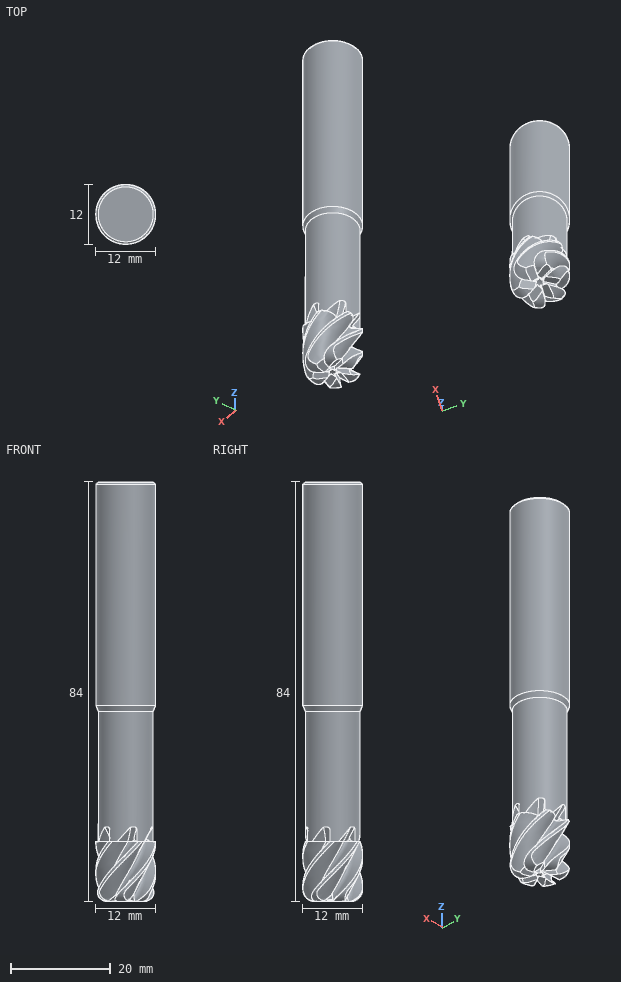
import cadquery as cq
import math

total_length = 84.0
tool_diameter = 12.0
neck_diameter = 11.0
head_length = 12.0
shank_start = 39.3
neck_cone_length = 1.3
end_chamfer = 0.5
corner_radius = 2.5

flute_count = 6
helix_angle = 45.0
edge_angle = -66.0
land_angle = 2.0
blank_radius = 6.3
back_angle = 18.0
floor_angle = 43.0
floor_radius = 3.5
floor_middle_angle = 54.0
floor_middle_radius = 3.45
rake_root_angle = 61.0
rake_root_radius = 4.2

runout_height = 2.9
runout_width = 4.1
runout_tip_width = 1.3
runout_tip_rounding = 0.6

dish_radius = 3.4
dish_depth = 0.5
gash_depth = 1.5
gash_width = 1.85
gash_inner_radius = 0.7

tool_radius = tool_diameter / 2
neck_radius = neck_diameter / 2
pitch_angle = 360.0 / flute_count
lead = math.pi * tool_diameter / math.tan(math.radians(helix_angle))
edge_angles = [edge_angle + i * pitch_angle for i in range(flute_count)]


def twist_over(height):
    """Rotation of the flutes, in degrees, over an axial height."""
    return 360.0 * height / lead


def polar(radius, angle):
    return (radius * math.cos(math.radians(angle)), radius * math.sin(math.radians(angle)))


def fluted_bar(bottom, height):
    """Twisted bar with the toothed cross-section, standing on the given level."""
    base_twist = twist_over(bottom - head_length)
    outline = cq.Workplane("XY", origin=(0, 0, bottom)).moveTo(*polar(blank_radius, edge_angle + base_twist))
    for angle in edge_angles:
        start = angle + base_twist
        outline = (
            outline.lineTo(*polar(blank_radius, start + land_angle))
            .threePointArc(polar(neck_radius, start + back_angle), polar(floor_radius, start + floor_angle))
            .threePointArc(
                polar(floor_middle_radius, start + floor_middle_angle),
                polar(rake_root_radius, start + rake_root_angle),
            )
        )
        if angle != edge_angles[-1]:
            outline = outline.lineTo(*polar(blank_radius, start + pitch_angle))
    return outline.close().twistExtrude(height, twist_over(height))


def make_gash(angle):
    """V-shaped groove in the bottom end, with its upright wall along the cutting edge."""
    return (
        cq.Workplane("YZ", origin=(gash_inner_radius, 0, 0))
        .polyline([(0, 0), (0, gash_depth), (-gash_width, 0)])
        .close()
        .extrude(tool_radius)
        .rotate((0, 0, 0), (0, 0, 1), angle)
    )


def make_head():
    """Fluted cutting head with a rounded bottom corner, a dished end and end gashes."""
    envelope = (
        cq.Workplane("XY").circle(tool_radius).extrude(head_length).faces("<Z").edges().fillet(corner_radius)
    )
    dish = (
        cq.Workplane("XZ")
        .polyline([(0, 0), (dish_radius, 0), (0, dish_depth)])
        .close()
        .revolve(360, (0, 0, 0), (0, 1, 0))
    )
    head = fluted_bar(0, head_length).intersect(envelope).cut(dish)
    for angle in edge_angles:
        head = head.cut(make_gash(angle - twist_over(head_length)))
    return head


def make_runout_window(angle):
    """Block over one flute end: an upright side, a helical side and a rounded tip."""
    return (
        cq.Workplane("YZ", origin=(0, 0, head_length))
        .polyline([(0, 0), (0, runout_height), (-runout_tip_width, runout_height), (-runout_width, 0)])
        .close()
        .extrude(tool_radius)
        .edges("|X and >Z")
        .fillet(runout_tip_rounding)
        .rotate((0, 0, 0), (0, 0, 1), angle)
    )


def make_shank():
    """Shank and neck, with the flutes running out at the lower end of the neck."""
    shank = (
        cq.Workplane("XZ")
        .polyline([
            (0, head_length),
            (neck_radius, head_length),
            (neck_radius, shank_start - neck_cone_length),
            (tool_radius, shank_start),
            (tool_radius, total_length - end_chamfer),
            (tool_radius - end_chamfer, total_length),
            (0, total_length),
        ])
        .close()
        .revolve(360, (0, 0, 0), (0, 1, 0))
    )
    rising_floor = (
        cq.Workplane("XZ", origin=(0, 0, head_length))
        .polyline([(0, 0), (floor_radius, 0), (neck_radius, runout_height), (0, runout_height)])
        .close()
        .revolve(360, (0, 0, 0), (0, 1, 0))
    )
    teeth = fluted_bar(head_length, runout_height)
    for angle in edge_angles:
        shank = shank.cut(make_runout_window(angle).cut(rising_floor).cut(teeth))
    return shank


cutting_head = make_head()
shank = make_shank()

result = cq.Compound.makeCompound([cutting_head.solids().val(), shank.solids().val()])